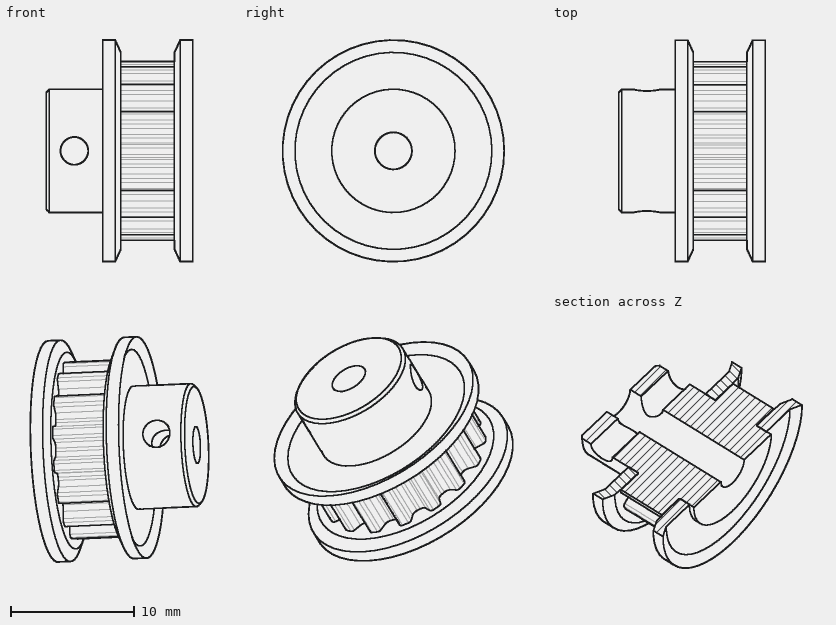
import cadquery as cq
import math


hub_length = 4.57
belt_width = 4.34
flange_width = 1.5
dish_depth = 0.47
hub_chamfer = 0.25

flange_radius = 9.0
dish_radius = 8.0
hub_radius = 5.0
bore_radius = 1.5

tooth_count = 16
tip_radius = 7.25
root_radius = 6.12
root_half_width = 0.47
flank_angle = 24.0
root_fillet = 0.5
tip_fillet = 0.27

screw_hole_radius = 1.12

belt_start = hub_length + flange_width
belt_end = belt_start + belt_width
total_length = belt_end + flange_width


def cylinder_along_x(radius, start, end):
    return cq.Workplane("YZ").workplane(offset=start).circle(radius).extrude(end - start)


def axis_distance(edge):
    """Distance from the X axis to an edge that runs along X."""
    center = edge.Center()
    return math.hypot(center.y, center.z)


def make_groove_cutter():
    """Straight-sided tooth space centred on +Z, running the width of the belt."""
    cutter_top = tip_radius + root_fillet
    top_half_width = root_half_width + (cutter_top - root_radius) * math.tan(math.radians(flank_angle))
    return (
        cq.Workplane("YZ")
        .workplane(offset=belt_start)
        .polyline(
            [
                (-root_half_width, root_radius),
                (root_half_width, root_radius),
                (top_half_width, cutter_top),
                (-top_half_width, cutter_top),
            ]
        )
        .close()
        .extrude(belt_width)
    )


def make_toothed_drum():
    """Belt drum with a tooth pointing along +Z, rounded at tips and roots."""
    middle_radius = (tip_radius + root_radius) / 2
    tooth_pitch = 360.0 / tooth_count
    drum = cylinder_along_x(tip_radius, belt_start, belt_end)
    groove = make_groove_cutter()
    for index in range(tooth_count):
        angle = (index + 0.5) * tooth_pitch
        drum = drum.cut(groove.rotate((0, 0, 0), (1, 0, 0), angle))

    root_corners = [edge for edge in drum.edges("|X").vals() if axis_distance(edge) < middle_radius]
    drum = drum.newObject(root_corners).fillet(root_fillet)
    tip_corners = [edge for edge in drum.edges("|X").vals() if axis_distance(edge) > middle_radius]
    return drum.newObject(tip_corners).fillet(tip_fillet)


def make_core():
    """Hub, flange journals and toothed drum in one piece, bored through."""
    shaft = cylinder_along_x(hub_radius, 0, total_length).faces("<X").chamfer(hub_chamfer)
    bore = cylinder_along_x(bore_radius, 0, total_length)
    screw_hole = (
        cq.Workplane("XZ")
        .center(hub_length / 2, 0)
        .circle(screw_hole_radius)
        .extrude(hub_radius, both=True)
    )
    return shaft.union(make_toothed_drum()).cut(bore).cut(screw_hole)


def make_flange():
    """Dished washer for the -X end: its hollow faces -X, its cone faces the belt."""
    return (
        cq.Workplane("XY")
        .moveTo(hub_length + dish_depth, hub_radius)
        .lineTo(hub_length + dish_depth, dish_radius)
        .lineTo(hub_length, flange_radius)
        .lineTo(belt_start - dish_depth, flange_radius)
        .lineTo(belt_start, dish_radius)
        .lineTo(belt_start, hub_radius)
        .close()
        .revolve(360, (0, 0, 0), (1, 0, 0))
    )


core = make_core()

belt_middle = (belt_start + belt_end) / 2
flanges = [make_flange()]
flanges.append(flanges[0].mirror("YZ", (belt_middle, 0, 0)))

result = cq.Compound.makeCompound([core.val(), *[flange.val() for flange in flanges]])